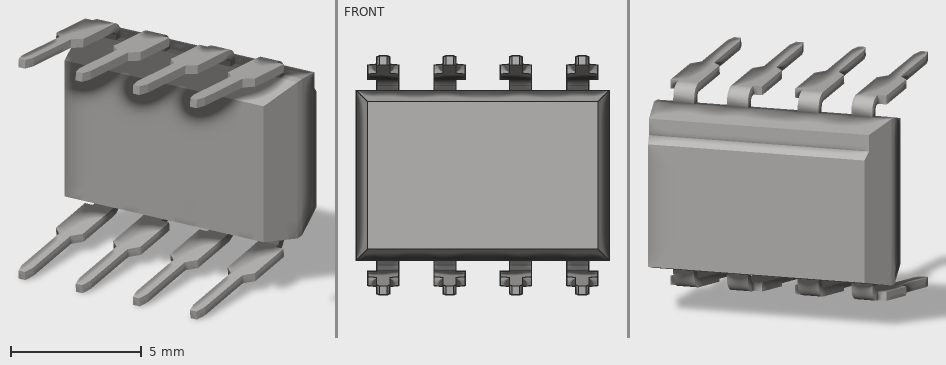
import cadquery as cq
import math


housing_length = 9.68
housing_depth = 4.01
housing_height = 6.505
face_inset = 0.43
ledge_depth = 0.3
ledge_floor_z = 2.26

leads_per_row = 4
lead_pitch = 2.54
sheet = 0.35
stem_length = 0.18
bend_inner_radius = 0.21
splay_angle = 5.6

blade_width = 1.2
pin_width = 0.5
tip_width = 0.29
shoulder_start = 0.12
blade_end = 2.31
tip_start = 5.52
tip_end = 5.95

frustum_depth = (housing_depth - sheet) / 2
draft_angle = math.degrees(math.atan(face_inset / frustum_depth))
bend_outer_radius = bend_inner_radius + sheet
pin_start = blade_end + (blade_width - pin_width) / 2


def make_housing():
    """Straight belt with a tapered half on its front and back, and a ledge along the back top edge."""
    belt = (
        cq.Workplane("XZ", origin=(0, sheet / 2, 0))
        .rect(housing_length, housing_height)
        .extrude(sheet)
    )
    front = (
        cq.Workplane("XZ", origin=(0, -sheet / 2, 0))
        .rect(housing_length, housing_height)
        .extrude(frustum_depth, taper=draft_angle)
    )
    back = front.mirror("XZ")

    back_y = housing_depth / 2
    floor_y = back_y - ledge_depth
    top_z = housing_height / 2
    ledge = (
        cq.Workplane("YZ")
        .moveTo(floor_y, top_z)
        .lineTo(floor_y, ledge_floor_z)
        .lineTo(back_y, ledge_floor_z - ledge_depth)
        .lineTo(back_y, top_z)
        .close()
        .extrude(housing_length / 2, both=True)
    )
    return belt.union(front).union(back).cut(ledge)


def make_lead(hand):
    """Upper-row lead centred on X = 0; hand +1 or -1 is the X side that its neck is flush with."""
    splay = math.radians(splay_angle)
    neck_inner_x = -hand * pin_width / 2
    neck_outer_x = hand * blade_width / 2

    outer_y = sheet / 2
    inner_y = -sheet / 2
    stem_base_z = housing_height / 2
    bend_y = outer_y - bend_outer_radius
    bend_z = stem_base_z + stem_length

    def on_bend(radius, angle):
        """Point on the bend, with the angle measured from +Y towards +Z."""
        return (bend_y + radius * math.cos(angle), bend_z + radius * math.sin(angle))

    bend_end = math.pi / 2 - splay
    bend_middle = bend_end / 2
    neck = (
        cq.Workplane("YZ", origin=(min(neck_inner_x, neck_outer_x), 0, 0))
        .moveTo(outer_y, stem_base_z)
        .lineTo(outer_y, bend_z)
        .threePointArc(on_bend(bend_outer_radius, bend_middle), on_bend(bend_outer_radius, bend_end))
        .lineTo(*on_bend(bend_inner_radius, bend_end))
        .threePointArc(on_bend(bend_inner_radius, bend_middle), (inner_y, bend_z))
        .lineTo(inner_y, stem_base_z)
        .close()
        .extrude(abs(neck_outer_x - neck_inner_x))
    )

    blade_plane = cq.Plane(
        origin=(0, *on_bend(bend_outer_radius, bend_end)),
        xDir=(1, 0, 0),
        normal=(0, math.sin(splay), math.cos(splay)),
    )
    blade = (
        cq.Workplane(blade_plane)
        .polyline([
            (neck_outer_x, 0),
            (neck_outer_x, -blade_end),
            (hand * pin_width / 2, -pin_start),
            (hand * pin_width / 2, -tip_start),
            (hand * tip_width / 2, -tip_end),
            (-hand * tip_width / 2, -tip_end),
            (-hand * pin_width / 2, -tip_start),
            (-hand * pin_width / 2, -pin_start),
            (-hand * blade_width / 2, -blade_end),
            (-hand * blade_width / 2, -shoulder_start),
            (neck_inner_x, -shoulder_start),
            (neck_inner_x, 0),
        ])
        .close()
        .extrude(-sheet)
    )
    return neck.union(blade)


housing = make_housing()

leads = []
for index in range(leads_per_row):
    lead_x = (index - (leads_per_row - 1) / 2) * lead_pitch
    hand = 1 if index % 2 == 0 else -1
    upper_lead = make_lead(hand).translate((lead_x, 0, 0))
    leads.append(upper_lead.val())
    leads.append(upper_lead.mirror("XY").val())

result = cq.Compound.makeCompound([housing.val(), *leads])